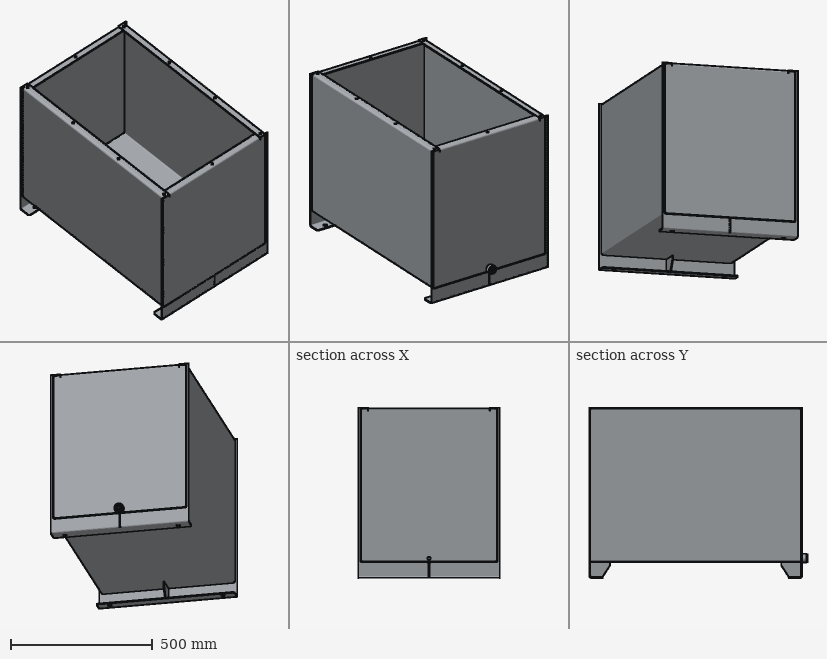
import cadquery as cq

LENGTH = 750.0
DEPTH = 500.0
HEIGHT = 600.0
HALF_LENGTH = LENGTH / 2
HALF_DEPTH = DEPTH / 2

SHEET = 4.0
BEND_RADIUS = 8.0
INNER_BEND_RADIUS = BEND_RADIUS - SHEET

WALL_INSET = 7.5
FLOOR_HEIGHT = 55.0
RIM_WIDTH = 28.0
TROUGH_HALF_DEPTH = HALF_DEPTH - WALL_INSET
TROUGH_LENGTH = LENGTH - 2 * SHEET
RIM_INNER_Y = TROUGH_HALF_DEPTH - RIM_WIDTH

RIM_GAP = 0.5
RELIEF_WIDTH = 1.0
RELIEF_DEPTH = 10.0
END_RIM_HALF_WIDTH = RIM_INNER_Y - RIM_GAP
NOTCH_HALF_WIDTH = RIM_INNER_Y + RELIEF_WIDTH

FOOT_WIDTH = 47.5
FOOT_CHAMFER = 5.0
FOOT_HOLE = 13.0
FOOT_HOLE_INSET = 30.0
FOOT_HOLE_Y = HALF_DEPTH - 45.0

GUSSET_TOP = 74.0
GUSSET_LIP = 10.0

RIM_HOLE = 6.8
RIM_HOLE_MOUTH = 8.5
RIM_HOLE_INSET = 15.0
RIM_HOLES_PER_SIDE = 4
COUNTERSINK_TAPER = 45.0
RIM_HOLE_X = HALF_LENGTH - RIM_HOLE_INSET
RIM_HOLE_Y = TROUGH_HALF_DEPTH - RIM_HOLE_INSET

DRAIN_HEIGHT = 70.0
DRAIN_LENGTH = 20.0
DRAIN_DIAMETER = 32.0
DRAIN_TIP = 27.0
DRAIN_TIP_LENGTH = 2.5
DRAIN_MOUTH = 25.0
DRAIN_RECESS = 20.96
DRAIN_RECESS_DEPTH = 3.0
DRAIN_BORE = 10.0


def slab(x_min, x_max, y_min, y_max, z_min, z_max):
    """Box given by its limits."""
    size = (x_max - x_min, y_max - y_min, z_max - z_min)
    return cq.Workplane("XY").box(*size, centered=False).translate((x_min, y_min, z_min))


def rounded_block(half_depth, z_min, z_max, radius):
    """Block as long as the trough with its four edges along X rounded."""
    half_length = TROUGH_LENGTH / 2
    block = slab(-half_length, half_length, -half_depth, half_depth, z_min, z_max)
    return block.edges("|X").fillet(radius)


def make_trough():
    """Folded sheet open at both ends, with a mouth between its rim flanges."""
    outer = rounded_block(TROUGH_HALF_DEPTH, FLOOR_HEIGHT, HEIGHT, BEND_RADIUS)
    inner = rounded_block(
        TROUGH_HALF_DEPTH - SHEET, FLOOR_HEIGHT + SHEET, HEIGHT - SHEET, INNER_BEND_RADIUS
    )
    mouth = slab(-HALF_LENGTH, HALF_LENGTH, -RIM_INNER_Y, RIM_INNER_Y, HEIGHT - SHEET, HEIGHT)
    return outer.cut(inner).cut(mouth)


def make_folded_sheet():
    """Upright sheet at -X, full depth, with both flanges at their longest reach."""
    x_out = -HALF_LENGTH
    reach = max(FOOT_WIDTH, RIM_WIDTH)
    outer = slab(x_out, x_out + reach, -HALF_DEPTH, HALF_DEPTH, 0, HEIGHT)
    inner = slab(x_out + SHEET, x_out + reach, -HALF_DEPTH, HALF_DEPTH, SHEET, HEIGHT - SHEET)
    outer = outer.edges("<X and |Y").fillet(BEND_RADIUS)
    return outer.cut(inner.edges("<X and |Y").fillet(INNER_BEND_RADIUS))


def make_left_end():
    """End plate at -X with its rim flange, full-height corners and foot."""
    x_out = -HALF_LENGTH
    x_in = x_out + SHEET
    x_foot = x_out + FOOT_WIDTH
    x_rim = x_out + RIM_WIDTH
    z_notch = HEIGHT - RELIEF_DEPTH
    folded = make_folded_sheet()

    below_notch = slab(x_out, x_foot, -HALF_DEPTH, HALF_DEPTH, 0, z_notch)
    foot_outline = below_notch.edges("|Z and >X").chamfer(FOOT_CHAMFER)
    rim_limits = slab(x_out, x_rim, -END_RIM_HALF_WIDTH, END_RIM_HALF_WIDTH, z_notch, HEIGHT)
    corners = slab(x_out, x_in, -HALF_DEPTH, HALF_DEPTH, z_notch, HEIGHT)
    corners = corners.cut(slab(x_out, x_in, -NOTCH_HALF_WIDTH, NOTCH_HALF_WIDTH, z_notch, HEIGHT))
    plate = folded.intersect(foot_outline).union(folded.intersect(rim_limits)).union(corners)

    hole_x = x_out + FOOT_HOLE_INSET
    hole_places = cq.Workplane("XY").pushPoints([(hole_x, -FOOT_HOLE_Y), (hole_x, FOOT_HOLE_Y)])
    return plate.cut(hole_places.circle(FOOT_HOLE / 2).extrude(SHEET))


def make_left_gusset():
    """Upright plate in the middle of the depth, joining the foot to the floor."""
    x_in = -HALF_LENGTH + SHEET
    x_foot = -HALF_LENGTH + FOOT_WIDTH
    x_tip = -HALF_LENGTH + GUSSET_TOP
    outline = [
        (x_in, SHEET),
        (x_foot, SHEET),
        (x_tip, FLOOR_HEIGHT - GUSSET_LIP),
        (x_tip, FLOOR_HEIGHT),
        (x_in, FLOOR_HEIGHT),
    ]
    return cq.Workplane("XZ").polyline(outline).close().extrude(SHEET / 2, both=True)


def make_drain():
    """Stepped round fitting with a shallow countersunk recess in its end."""
    shoulder = DRAIN_LENGTH - DRAIN_TIP_LENGTH
    shoulder_chamfer = (DRAIN_DIAMETER - DRAIN_TIP) / 2
    mouth_chamfer = (DRAIN_MOUTH - DRAIN_RECESS) / 2
    recess_floor = DRAIN_LENGTH - DRAIN_RECESS_DEPTH
    half_section = [
        (0, 0),
        (DRAIN_DIAMETER / 2, 0),
        (DRAIN_DIAMETER / 2, shoulder - shoulder_chamfer),
        (DRAIN_TIP / 2, shoulder),
        (DRAIN_TIP / 2, DRAIN_LENGTH),
        (DRAIN_MOUTH / 2, DRAIN_LENGTH),
        (DRAIN_RECESS / 2, DRAIN_LENGTH - mouth_chamfer),
        (DRAIN_RECESS / 2, recess_floor),
        (0, recess_floor),
    ]
    fitting = cq.Workplane("XY").polyline(half_section).close().revolve(360, (0, 0, 0), (0, 1, 0))
    return fitting.rotate((0, 0, 0), (0, 0, 1), 90).translate((-HALF_LENGTH, 0, DRAIN_HEIGHT))


def make_drain_bore():
    """Bore through the fitting and the left end plate."""
    base = cq.Workplane("YZ", origin=(-HALF_LENGTH + SHEET, 0, DRAIN_HEIGHT))
    return base.circle(DRAIN_BORE / 2).extrude(-SHEET - DRAIN_LENGTH)


def make_rim_holes():
    """Evenly spaced holes along the front and rear rims and one in each end rim."""
    step = 2 * RIM_HOLE_X / (RIM_HOLES_PER_SIDE - 1)
    points = [(-RIM_HOLE_X, 0), (RIM_HOLE_X, 0)]
    for i in range(RIM_HOLES_PER_SIDE):
        for side in (-1, 1):
            points.append((-RIM_HOLE_X + i * step, side * RIM_HOLE_Y))
    sink_depth = (RIM_HOLE_MOUTH - RIM_HOLE) / 2
    rim = cq.Workplane("XY", origin=(0, 0, HEIGHT)).pushPoints(points)
    bores = rim.circle(RIM_HOLE / 2).extrude(-SHEET)
    sinks = rim.circle(RIM_HOLE_MOUTH / 2).extrude(-sink_depth, taper=COUNTERSINK_TAPER)
    return bores.union(sinks)


left_end = make_left_end().union(make_left_gusset())
right_end = left_end.mirror("YZ")
result = make_trough().union(left_end).union(right_end).union(make_drain())
result = result.cut(make_drain_bore()).cut(make_rim_holes())